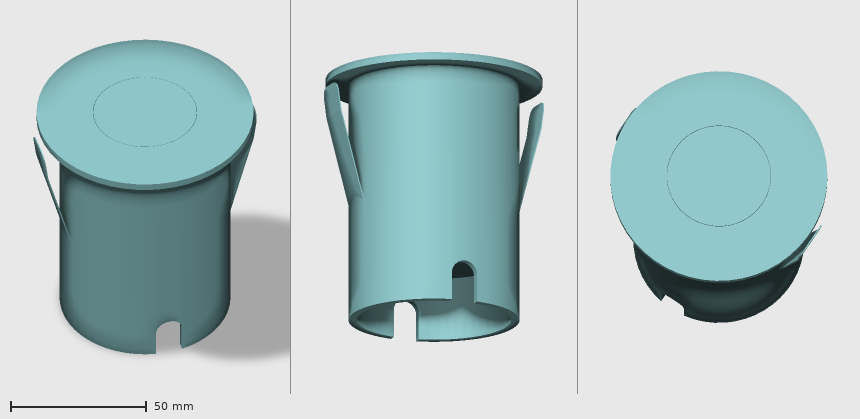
import cadquery as cq
import math

HEIGHT = 91.6
SLEEVE_DIAMETER = 63.0
SLEEVE_BORE = 57.0

SLOT_WIDTH = 10.0
SLOT_HEIGHT = 15.0

FLANGE_DIAMETER = 80.0
FLANGE_THICKNESS = 2.75
LAMP_BODY_DIAMETER = 55.0

LENS_DIAMETER = 38.2
GROOVE_DIAMETER = 38.5
GROOVE_DEPTH = 0.9

CLIP_SPAN = 82.4
CLIP_WIDTH = 14.2
CLIP_THICKNESS = 0.5
CLIP_CORNER_RADIUS = 3.8
CLIP_LEAN = 15.0
CLIP_TOP_Z = 85.7
CLIP_BEND_Z = 74.7
CLIP_EXIT_Z = 44.1
CLIP_ROOT_Z = 22.9

SLEEVE_RADIUS = SLEEVE_DIAMETER / 2
FLANGE_BOTTOM_Z = HEIGHT - FLANGE_THICKNESS
GROOVE_BOTTOM_Z = HEIGHT - GROOVE_DEPTH


def cylinder(diameter, bottom_z, top_z):
    """Upright cylinder on the Z axis between two heights."""
    return cq.Workplane("XY", origin=(0, 0, bottom_z)).circle(diameter / 2).extrude(top_z - bottom_z)


def cable_slots():
    """Round-topped cutter along X that opens both sides of the sleeve at its lower end."""
    slot_radius = SLOT_WIDTH / 2
    return (
        cq.Workplane("YZ")
        .moveTo(-slot_radius, 0)
        .lineTo(slot_radius, 0)
        .lineTo(slot_radius, SLOT_HEIGHT - slot_radius)
        .threePointArc((0, SLOT_HEIGHT), (-slot_radius, SLOT_HEIGHT - slot_radius))
        .close()
        .extrude(SLEEVE_RADIUS, both=True)
    )


def leaning_y(z):
    """Outer Y of the lower clip leg, which leaves the sleeve surface at CLIP_EXIT_Z."""
    return SLEEVE_RADIUS + (z - CLIP_EXIT_Z) * math.tan(math.radians(CLIP_LEAN))


def leaf_clip():
    """Clip on the +Y side: a bent strip with two rounded corners at its free end."""
    outer_line = [
        (leaning_y(CLIP_ROOT_Z), CLIP_ROOT_Z),
        (leaning_y(CLIP_BEND_Z), CLIP_BEND_Z),
        (CLIP_SPAN / 2, CLIP_TOP_Z),
    ]
    inner_line = [(y - CLIP_THICKNESS, z) for y, z in reversed(outer_line)]
    strip = cq.Workplane("YZ").polyline(outer_line + inner_line).close().extrude(CLIP_WIDTH / 2, both=True)

    face_outline = (
        cq.Workplane("XZ")
        .center(0, (CLIP_TOP_Z + CLIP_ROOT_Z) / 2)
        .rect(CLIP_WIDTH, CLIP_TOP_Z - CLIP_ROOT_Z)
        .extrude(-CLIP_SPAN)
        .edges("|Y and >Z")
        .fillet(CLIP_CORNER_RADIUS)
    )
    return strip.intersect(face_outline)


def lens_groove():
    """Thin ring cutter that outlines the lens area."""
    return cylinder(GROOVE_DIAMETER, GROOVE_BOTTOM_Z, HEIGHT).cut(
        cylinder(LENS_DIAMETER, GROOVE_BOTTOM_Z, HEIGHT)
    )


def make_lamp():
    """Flanged lamp with its lens groove and the two leaf clips."""
    lamp = (
        cylinder(LAMP_BODY_DIAMETER, CLIP_ROOT_Z, FLANGE_BOTTOM_Z)
        .union(cylinder(FLANGE_DIAMETER, FLANGE_BOTTOM_Z, HEIGHT))
        .cut(lens_groove())
    )
    for angle in (0, 180):
        lamp = lamp.union(leaf_clip().rotate((0, 0, 0), (0, 0, 1), angle))
    return lamp


def make_sleeve(lamp):
    """Tube under the flange with cable slots and openings that match the clips."""
    return (
        cylinder(SLEEVE_DIAMETER, 0, FLANGE_BOTTOM_Z)
        .cut(cylinder(SLEEVE_BORE, 0, FLANGE_BOTTOM_Z))
        .cut(cable_slots())
        .cut(lamp)
    )


lamp = make_lamp()
sleeve = make_sleeve(lamp)

result = cq.Compound.makeCompound([lamp.val(), sleeve.val()])